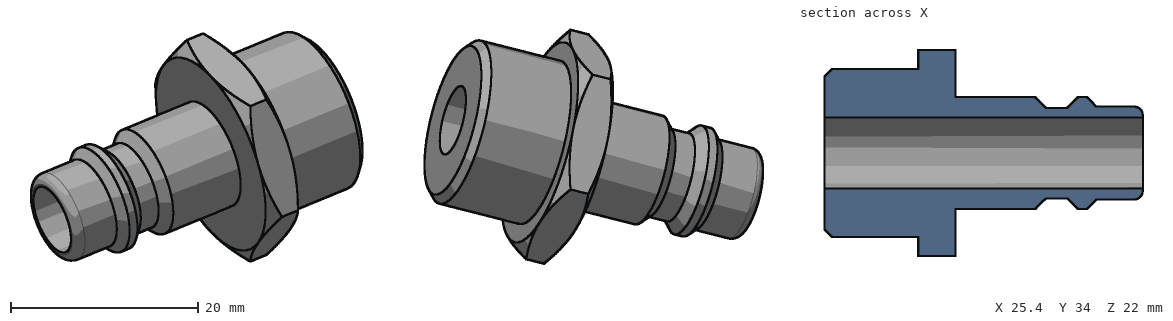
import cadquery as cq
import math

total_length = 34.0
bore_diameter = 7.5

across_flats = 22.0
collar_thickness = 4.0
collar_chamfer_angle = 30.0

spigot_diameter = 18.0
spigot_length = 10.0
spigot_chamfer = 0.8

body_diameter = 12.0
groove_diameter = 9.72
tip_diameter = 10.0
tip_length = 5.0
tip_round = 1.0
rib_front_taper = 1.0
rib_width = 1.0
groove_width = 2.25

collar_back = total_length - spigot_length
collar_front = collar_back - collar_thickness
rib_start = tip_length + rib_front_taper
rib_end = rib_start + rib_width
groove_flank = (body_diameter - groove_diameter) / 2
groove_start = rib_end + groove_flank
groove_end = groove_start + groove_width
body_start = groove_end + groove_flank


def revolve_about_y(profile):
    """Turn a closed XY profile, with X as radius, about the Y axis."""
    return profile.close().revolve(360, (0, 0, 0), (0, 1, 0))


def make_nipple():
    body_radius = body_diameter / 2
    groove_radius = groove_diameter / 2
    tip_radius = tip_diameter / 2
    arc_offset = tip_round * math.sqrt(0.5)
    round_middle = (tip_radius - tip_round + arc_offset, tip_round - arc_offset)
    return revolve_about_y(
        cq.Workplane("XY")
        .moveTo(0, 0)
        .lineTo(tip_radius - tip_round, 0)
        .threePointArc(round_middle, (tip_radius, tip_round))
        .lineTo(tip_radius, tip_length)
        .lineTo(body_radius, rib_start)
        .lineTo(body_radius, rib_end)
        .lineTo(groove_radius, groove_start)
        .lineTo(groove_radius, groove_end)
        .lineTo(body_radius, body_start)
        .lineTo(body_radius, collar_back)
        .lineTo(0, collar_back)
    )


def make_spigot():
    radius = spigot_diameter / 2
    return revolve_about_y(
        cq.Workplane("XY")
        .moveTo(0, collar_front)
        .lineTo(radius, collar_front)
        .lineTo(radius, total_length - spigot_chamfer)
        .lineTo(radius - spigot_chamfer, total_length)
        .lineTo(0, total_length)
    )


def make_collar():
    """Hexagon with corners on X, its corners bevelled by a cone on each face."""
    flat_radius = across_flats / 2
    corner_radius = flat_radius / math.cos(math.pi / 6)
    bevel = (corner_radius - flat_radius) * math.tan(math.radians(collar_chamfer_angle))
    hexagon = (
        cq.Workplane("XZ", origin=(0, collar_back, 0))
        .polygon(6, 2 * corner_radius)
        .extrude(collar_thickness)
    )
    bevel_envelope = revolve_about_y(
        cq.Workplane("XY")
        .moveTo(0, collar_front)
        .lineTo(flat_radius, collar_front)
        .lineTo(corner_radius, collar_front + bevel)
        .lineTo(corner_radius, collar_back - bevel)
        .lineTo(flat_radius, collar_back)
        .lineTo(0, collar_back)
    )
    return hexagon.intersect(bevel_envelope)


bore = (
    cq.Workplane("XZ", origin=(0, total_length, 0))
    .circle(bore_diameter / 2)
    .extrude(total_length)
)

result = make_nipple().union(make_collar()).union(make_spigot()).cut(bore)